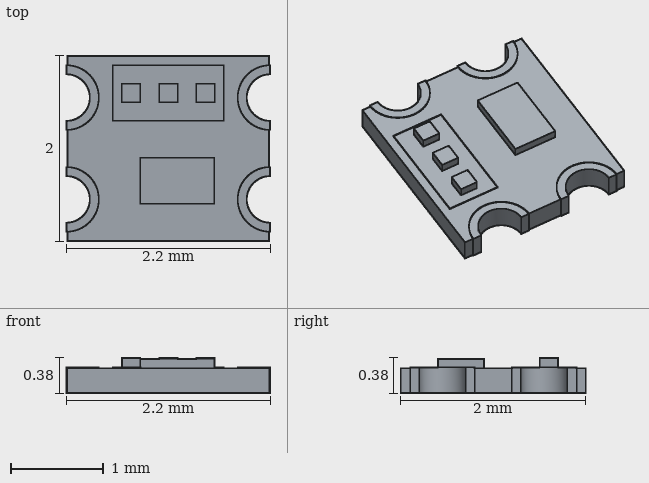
import cadquery as cq

overall_length = 2.2
board_width = 2.0
overall_height = 0.38
layer_thickness = 0.01
part_height = 0.101
board_height = overall_height - part_height - layer_thickness
board_length = overall_length - 2 * layer_thickness
layer_top = board_height + layer_thickness

notch_radius = 0.25
plating_width = 0.1
plating_radius = notch_radius + plating_width
notch_y = 0.55
notch_centers = [
    (x, y)
    for x in (-overall_length / 2, overall_length / 2)
    for y in (-notch_y, notch_y)
]

plate_length = 1.2
plate_width = plate_length / 2
plate_y = 0.6
chip_side = 0.2
chip_pitch = 2 * chip_side

component_length = 0.8
component_width = 0.5
component_x = 0.1
component_y = -0.35


def block(length, width, height, x, y, base_z):
    """Box centred at x, y with its underside at base_z."""
    box = cq.Workplane("XY").box(length, width, height, centered=(True, True, False))
    return box.translate((x, y, base_z))


def notch_cylinders(radius):
    """Upright cylinders on the notch centres, up to the plating top."""
    return cq.Workplane("XY").pushPoints(notch_centers).circle(radius).extrude(layer_top)


board = block(board_length, board_width, board_height, 0, 0, 0)
plating_limits = block(overall_length, board_width, layer_top, 0, 0, 0)
plating = notch_cylinders(plating_radius).intersect(plating_limits)
result = board.union(plating).cut(notch_cylinders(notch_radius))

result = result.union(
    block(plate_length, plate_width, layer_thickness, 0, plate_y, board_height)
)
for chip_x in (-chip_pitch, 0, chip_pitch):
    chip = block(chip_side, chip_side, part_height, chip_x, plate_y, layer_top)
    result = result.union(chip)

component = block(
    component_length, component_width, part_height,
    component_x, component_y, board_height,
)
result = result.union(component)